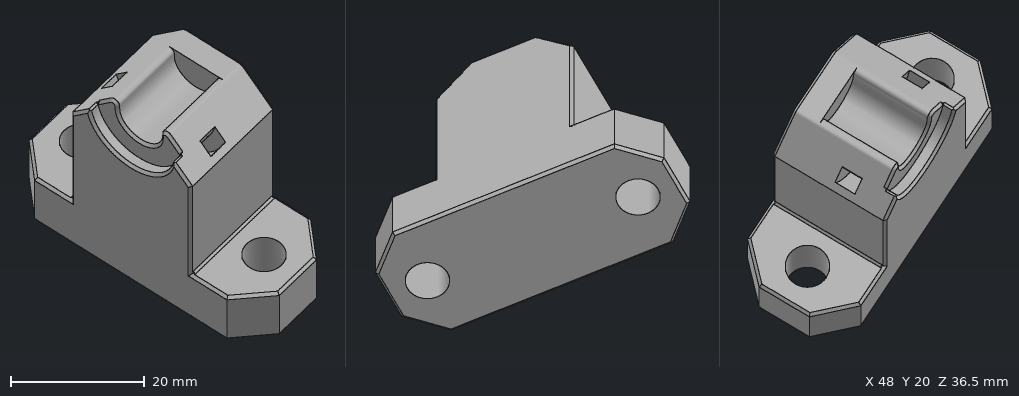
import cadquery as cq
import math

base_length = 48.0
base_width = 20.0
base_height = 10.0
corner_cut = 5.55
hole_diameter = 6.6
hole_spacing = 35.0

post_width = 23.0
total_height = 36.5
shoulder_cut = 6.0
edge_chamfer = 0.5
foot_chamfer = 0.4

axis_depth = 1.5
groove_radius = 4.15
end_wall = 4.5
recess_radius = 8.0
recess_depth = 2.0
lip_radius = 0.95

tunnel_inner_radius = 8.55
tunnel_outer_radius = 11.05
tunnel_width = 3.5
tunnel_front_gap = 6.05

front_y = -base_width / 2
half_post = post_width / 2
top_half = half_post - shoulder_cut
axis_z = total_height - axis_depth
seat_y = front_y + recess_depth
tolerance = 0.005


def cylinder_along_y(radius, start_y, length):
    """Cylinder around the cradle axis, running towards +Y."""
    return cq.Workplane("XZ", origin=(0, start_y, axis_z)).circle(radius).extrude(-length)


def open_channel(radius, start_y, length):
    """Round-bottomed channel on the cradle axis, open upwards."""
    opening = cq.Workplane("XY").box(
        2 * radius, length, 2 * axis_depth, centered=(True, False, False)
    ).translate((0, start_y, axis_z))
    return cylinder_along_y(radius, start_y, length).union(opening)


def make_body():
    """Base and post with bevelled outer edges and a bevelled post foot."""
    base = (
        cq.Workplane("XY")
        .box(base_length, base_width, base_height, centered=(True, True, False))
        .edges("|Z")
        .chamfer(corner_cut)
    )
    shoulder_z = total_height - shoulder_cut
    post = (
        cq.Workplane("XZ", origin=(0, front_y, 0))
        .moveTo(-half_post, 0)
        .lineTo(-half_post, shoulder_z)
        .lineTo(-top_half, total_height)
        .lineTo(top_half, total_height)
        .lineTo(half_post, shoulder_z)
        .lineTo(half_post, 0)
        .close()
        .extrude(-base_width)
    )
    post = post.edges("|Y and >Z").fillet(lip_radius)
    body = base.union(post)
    body = body.faces("<Z").edges().chamfer(edge_chamfer)
    for side in ("<Y", ">Y"):
        upper_edges = body.faces(side).edges(
            cq.selectors.BoxSelector(
                (-base_length, -base_width, base_height - tolerance),
                (base_length, base_width, total_height + tolerance),
            )
        )
        body = upper_edges.chamfer(edge_chamfer)
    for side in (-1, 1):
        end_x = side * (base_length / 2 - corner_cut / 2)
        reach = corner_cut / 2 + tolerance
        end_edges = body.edges(
            cq.selectors.BoxSelector(
                (end_x - reach, -base_width, base_height - tolerance),
                (end_x + reach, base_width, base_height + tolerance),
            )
        )
        body = end_edges.chamfer(edge_chamfer)
    foot_edges = body.edges(
        cq.selectors.BoxSelector(
            (-half_post - tolerance, -base_width, base_height - tolerance),
            (half_post + tolerance, base_width, base_height + tolerance),
        )
    ).edges("|Y")
    return foot_edges.chamfer(foot_chamfer)


def cut_recess(body):
    """Shallow round seat in the front face; bevelled around its mouth."""
    body = body.cut(open_channel(recess_radius, front_y, recess_depth))
    mouth_radius = recess_radius + edge_chamfer
    mouth = cq.Workplane(
        cq.Solid.makeCone(
            mouth_radius,
            recess_radius,
            edge_chamfer,
            pnt=cq.Vector(0, front_y, axis_z),
            dir=cq.Vector(0, 1, 0),
        )
    )
    return body.cut(mouth)


def cut_groove(body):
    """Blind round-bottomed groove with rounded lips and a bevelled front rim."""
    groove_length = base_width - recess_depth - end_wall
    body = body.cut(open_channel(groove_radius, seat_y, groove_length))
    lip_edges = body.edges(
        cq.selectors.BoxSelector(
            (-groove_radius - tolerance, seat_y, total_height - tolerance),
            (groove_radius + tolerance, base_width, total_height + tolerance),
        )
    ).edges("|Y")
    body = lip_edges.fillet(lip_radius)
    seat_face = body.faces(
        cq.selectors.BoxSelector(
            (-half_post, seat_y - tolerance, 0),
            (half_post, seat_y + tolerance, total_height),
        )
    )
    rim = [
        edge for edge in seat_face.edges().vals()
        if not (edge.geomType() == "CIRCLE" and edge.radius() > groove_radius + tolerance)
    ]
    return body.newObject(rim).chamfer(edge_chamfer)


def make_shoulder_bevels():
    """Cutters that bevel the edges where the seat wall meets the sloped shoulders."""
    shoulder_sum = axis_depth + top_half
    corner_x = (shoulder_sum + math.sqrt(2 * recess_radius**2 - shoulder_sum**2)) / 2
    corner_height = shoulder_sum - corner_x
    slope_step = edge_chamfer / math.sqrt(2)
    wall_angle = math.atan2(corner_height, corner_x) - edge_chamfer / recess_radius
    bevel = (
        cq.Workplane("XZ", origin=(0, front_y, axis_z))
        .moveTo(corner_x, corner_height)
        .lineTo(corner_x + slope_step, corner_height - slope_step)
        .lineTo(recess_radius * math.cos(wall_angle), recess_radius * math.sin(wall_angle))
        .close()
        .extrude(-recess_depth)
    )
    return bevel.union(bevel.mirror("YZ"))


def make_tunnel():
    """Ring-shaped tunnel for a strap around the cradle axis."""
    start_y = front_y + tunnel_front_gap
    outer = cylinder_along_y(tunnel_outer_radius, start_y, tunnel_width)
    return outer.cut(cylinder_along_y(tunnel_inner_radius, start_y, tunnel_width))


def make_mounting_holes():
    """Vertical through holes, one in each end of the base."""
    return (
        cq.Workplane("XY")
        .pushPoints([(-hole_spacing / 2, 0), (hole_spacing / 2, 0)])
        .circle(hole_diameter / 2)
        .extrude(base_height)
    )


result = cut_groove(cut_recess(make_body()))
result = result.cut(make_shoulder_bevels()).cut(make_tunnel()).cut(make_mounting_holes())